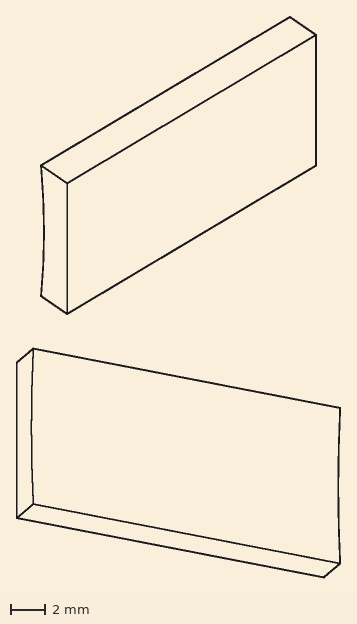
import cadquery as cq

thickness = 2.25
length = 20.0
height = 10.0

hollow_depth = 0.25

half_thickness = thickness / 2
half_height = height / 2

profile = (
    cq.Workplane("XZ")
    .moveTo(-half_thickness, -half_height)
    .lineTo(half_thickness, -half_height)
    .lineTo(half_thickness, half_height)
    .lineTo(-half_thickness, half_height)
    .threePointArc((-half_thickness + hollow_depth, 0), (-half_thickness, -half_height))
    .close()
)

result = profile.extrude(length / 2, both=True)